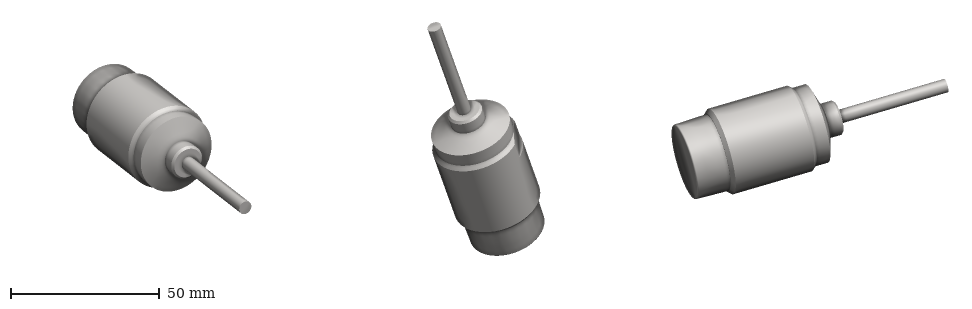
import cadquery as cq


overall_length = 93.5
body_start = 11.6
body_end = 42.4
rear_cone_start = 47.2
neck_start = 50.0
neck_end = 55.0

face_diameter = 26.1
nose_root_diameter = 26.8
body_diameter = 30.0
collar_diameter = 27.5
neck_diameter = 12.0
cable_diameter = 4.7

face_edge_radius = 0.5
body_chamfer_length = 1.4
neck_chamfer = 0.75

flat_start = 35.0
flat_height = collar_diameter / 2


def ring(start, end, diameter):
    """Cylinder about the X axis between two stations."""
    return cq.Workplane("YZ", origin=(start, 0, 0)).circle(diameter / 2).extrude(end - start)


def cone(start, end, start_diameter, end_diameter):
    """Cone frustum about the X axis between two stations."""
    solid = cq.Solid.makeCone(
        start_diameter / 2,
        end_diameter / 2,
        end - start,
        pnt=cq.Vector(start, 0, 0),
        dir=cq.Vector(1, 0, 0),
    )
    return cq.Workplane(obj=solid)


def make_nose():
    """Slightly tapered nose with a rounded edge around the face."""
    nose = cone(0, body_start, face_diameter, nose_root_diameter)
    return nose.faces("<X").edges().fillet(face_edge_radius)


def make_body():
    """Main barrel with a cone at each end down to the collar diameter, and its flat."""
    full_start = body_start + body_chamfer_length
    full_end = body_end - body_chamfer_length
    front_cone = cone(body_start, full_start, collar_diameter, body_diameter)
    barrel = ring(full_start, full_end, body_diameter)
    rear_cone = cone(full_end, body_end, body_diameter, collar_diameter)
    body = barrel.union(front_cone).union(rear_cone)
    flat_cutter = cq.Workplane("XY").box(
        body_end - flat_start,
        body_diameter / 2 - flat_height,
        body_diameter,
        centered=(False, False, True),
    )
    return body.cut(flat_cutter.translate((flat_start, flat_height, 0)))


def make_rear():
    """Collar, cone and chamfered neck behind the body."""
    collar = ring(body_end, rear_cone_start, collar_diameter)
    taper = cone(rear_cone_start, neck_start, collar_diameter, neck_diameter)
    neck = ring(neck_start, neck_end, neck_diameter)
    neck = neck.faces(">X").edges().chamfer(neck_chamfer)
    return collar.union(taper).union(neck)


cable = ring(neck_end, overall_length, cable_diameter)
result = make_nose().union(make_body()).union(make_rear()).union(cable)